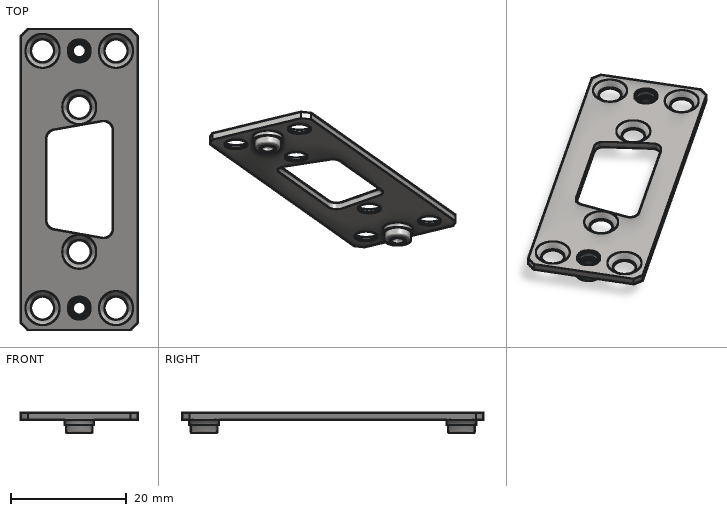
import cadquery as cq
import math

length = 52.05
width = 20.3
plate_thickness = 1.25
corner_chamfer = 1.3

screw_hole_diameter = 3.95
countersink_diameter = 5.9
countersink_angle = 90
corner_hole_x = 6.35
end_hole_y = 22.25
middle_hole_y = 12.5

window_left = -5.7
window_right = 5.8
window_mid_half_length = 9.35
window_slant_angle = 10
window_radius = 1.55

nut_positions = (-end_hole_y, end_hole_y)
total_height = 3.55
shank_diameter = 3.95
flange_diameter = 5.15
flange_bottom = 2.1
shell_diameter = 4.65
shell_bottom_radius = 0.35
shank_top = 0.25
shank_chamfer = 0.15
bore_diameter = 3.3
bore_depth = 1.25

ring_diameter = 2.85
ring_bore_diameter = 2.25
cone_angle = 30
cone_slope = math.tan(math.radians(cone_angle))
ring_top = bore_depth + (bore_diameter - ring_diameter) / 2 * cone_slope
cone_bottom = ring_top + (ring_diameter - ring_bore_diameter) / 2 * cone_slope


def revolve_profile(points):
    """Revolve (radius, height) points about the Z axis."""
    return cq.Workplane("XZ").polyline(points).close().revolve(360, (0, 0), (0, 1))


def make_window():
    """Trapezoidal window with rounded corners, cut through the plate."""
    slope = math.tan(math.radians(window_slant_angle))
    left_half = window_mid_half_length + window_left * slope
    right_half = window_mid_half_length + window_right * slope
    corners = [
        (window_left, -left_half),
        (window_right, -right_half),
        (window_right, right_half),
        (window_left, left_half),
    ]
    prism = cq.Workplane("XY").polyline(corners).close().extrude(-plate_thickness)
    return prism.edges("|Z").fillet(window_radius)


def make_plate():
    """Chamfered plate with the window, screw holes and nut seats."""
    plate = cq.Workplane("XY").rect(width, length).extrude(-plate_thickness)
    plate = plate.edges("|Z").chamfer(corner_chamfer)
    plate = plate.cut(make_window())

    screw_points = [(x, y) for x in (-corner_hole_x, corner_hole_x) for y in (-end_hole_y, end_hole_y)]
    screw_points += [(0, -middle_hole_y), (0, middle_hole_y)]
    plate = (
        plate.faces(">Z").workplane(origin=(0, 0, 0))
        .pushPoints(screw_points)
        .cskHole(screw_hole_diameter, countersink_diameter, countersink_angle)
    )
    return (
        plate.faces(">Z").workplane(origin=(0, 0, 0))
        .pushPoints([(0, y) for y in nut_positions])
        .hole(shank_diameter)
    )


def make_nut_shell(y):
    """Stepped clinch nut shell, its shank sitting in the plate hole just below the top face."""
    bore = bore_diameter / 2
    seat = ring_diameter / 2
    shank = shank_diameter / 2
    flange = flange_diameter / 2
    body = shell_diameter / 2
    profile = [
        (bore, -shank_top),
        (shank - shank_chamfer, -shank_top),
        (shank, -shank_top - shank_chamfer),
        (shank, -plate_thickness),
        (flange, -plate_thickness),
        (flange, -flange_bottom),
        (body, -flange_bottom),
        (body, -total_height),
        (seat, -total_height),
        (seat, -ring_top),
        (bore, -bore_depth),
    ]
    shell = revolve_profile(profile)
    shell = shell.faces("<Z").edges(cq.selectors.RadiusNthSelector(-1)).fillet(shell_bottom_radius)
    return shell.translate((0, y, 0))


def make_locking_ring(y):
    """Ring with a conical lead-in, filling the seat below the shell bore."""
    outer = ring_diameter / 2
    bore = ring_bore_diameter / 2
    profile = [
        (outer, -ring_top),
        (outer, -total_height),
        (bore, -total_height),
        (bore, -cone_bottom),
    ]
    return revolve_profile(profile).translate((0, y, 0))


plate = make_plate()
nut_shells = [make_nut_shell(y) for y in nut_positions]
locking_rings = [make_locking_ring(y) for y in nut_positions]

result = cq.Compound.makeCompound(
    [plate.val()] + [shell.val() for shell in nut_shells] + [ring.val() for ring in locking_rings]
)